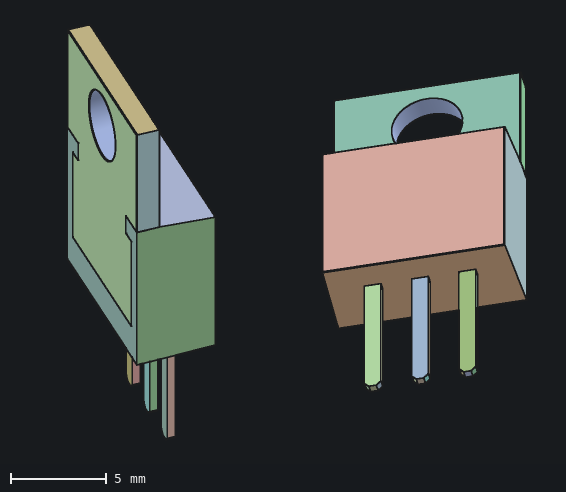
import cadquery as cq
import math

width = 10.1
depth = 4.5
total_height = 21.9
edge_chamfer = 0.04

lead_length = 7.05
housing_height = 8.56
housing_top = lead_length + housing_height
side_draft_angle = 2
top_slope_angle = 5

tab_thickness = 1.3
tab_width = 10.03
neck_width = 6.92
neck_height = 1.12
pad_width = 8.5
pad_height = 5.48
hole_diameter = 3.8
hole_drop = 2.8

lead_count = 3
lead_pitch = 2.54
lead_width = 0.9
lead_thickness = 0.45
lead_center_y = 2.73
lead_tip_chamfer = 0.25


def box(size_x, y_min, y_max, z_min, z_max):
    """Block centred on X between the given Y and Z limits."""
    block = cq.Workplane("XY").box(size_x, y_max - y_min, z_max - z_min, centered=(True, False, False))
    return block.translate((0, y_min, z_min))


def make_tab():
    """Holed plate that narrows to a neck and widens again to the pad set into the housing."""
    neck_bottom = housing_top - neck_height
    plate = box(tab_width, 0, tab_thickness, housing_top, total_height)
    hole = (
        cq.Workplane("XZ")
        .center(0, total_height - hole_drop)
        .circle(hole_diameter / 2)
        .extrude(-tab_thickness)
    )
    plate = plate.edges("|X and >Z or |Z").chamfer(edge_chamfer)
    plate = plate.cut(hole)
    plate = plate.faces("<Y").edges("%CIRCLE").chamfer(edge_chamfer)
    neck = box(neck_width, 0, tab_thickness, neck_bottom, housing_top)
    pad = box(pad_width, 0, tab_thickness, neck_bottom - pad_height, neck_bottom)
    return plate.union(neck).union(pad)


def make_lead():
    """Flat lead with a tapered tip, centred on X."""
    lead = box(
        lead_width,
        lead_center_y - lead_thickness / 2,
        lead_center_y + lead_thickness / 2,
        0,
        lead_length,
    )
    return lead.faces("<Z").edges("|Y").chamfer(lead_tip_chamfer)


def make_moulding():
    """Block with a sloped top behind the tab and sides that draw in towards the back."""
    back_half_width = width / 2 - depth * math.tan(math.radians(side_draft_angle))
    back_top = housing_top - (depth - tab_thickness) * math.tan(math.radians(top_slope_angle))
    side_profile = (
        cq.Workplane("YZ")
        .moveTo(0, lead_length)
        .lineTo(0, housing_top)
        .lineTo(tab_thickness, housing_top)
        .lineTo(depth, back_top)
        .lineTo(depth, lead_length)
        .close()
        .extrude(width / 2, both=True)
    )
    drafted_plan = (
        cq.Workplane("XY")
        .moveTo(-width / 2, 0)
        .lineTo(width / 2, 0)
        .lineTo(back_half_width, depth)
        .lineTo(-back_half_width, depth)
        .close()
        .extrude(total_height)
    )
    return side_profile.intersect(drafted_plan).faces(">Y").chamfer(edge_chamfer)


def make_housing(tab):
    """Moulding with a recess for the tab and the leads fixed to its underside."""
    housing = make_moulding().cut(tab)
    for index in range(lead_count):
        lead_x = (index - (lead_count - 1) / 2) * lead_pitch
        housing = housing.union(make_lead().translate((lead_x, 0, 0)))
    return housing


tab = make_tab()
housing = make_housing(tab)
result = cq.Compound.makeCompound([housing.val(), tab.val()])